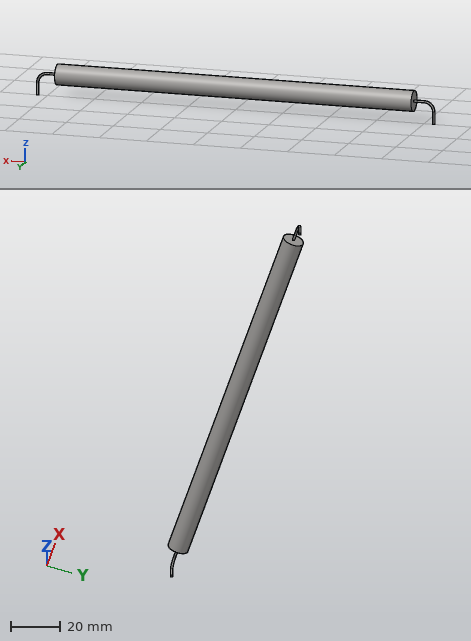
import cadquery as cq

overall_length = 169.3
overall_height = 13.5
body_diameter = 8.6
body_length = 151.5

wire_diameter = 1.0
bend_radius = 4.0
lead_overlap = 1.7

body_end = body_length / 2
lead_x = (overall_length - wire_diameter) / 2
lead_bottom = body_diameter / 2 - overall_height


def make_body():
    """Plain round rod centred on the origin."""
    left_end = cq.Workplane("YZ", origin=(-body_end, 0, 0))
    return left_end.circle(body_diameter / 2).extrude(body_length)


def make_lead(side):
    """Wire leaving one end of the body and bending down; side is -1 or +1."""
    start_x = side * (body_end - lead_overlap)
    path = (
        cq.Workplane("XZ")
        .moveTo(start_x, 0)
        .lineTo(side * (lead_x - bend_radius), 0)
        .tangentArcPoint((side * lead_x, -bend_radius), relative=False)
        .lineTo(side * lead_x, lead_bottom)
    )
    section = cq.Workplane("YZ", origin=(start_x, 0, 0)).circle(wire_diameter / 2)
    return section.sweep(path)


result = make_body()
for side in (-1, 1):
    result = result.union(make_lead(side))